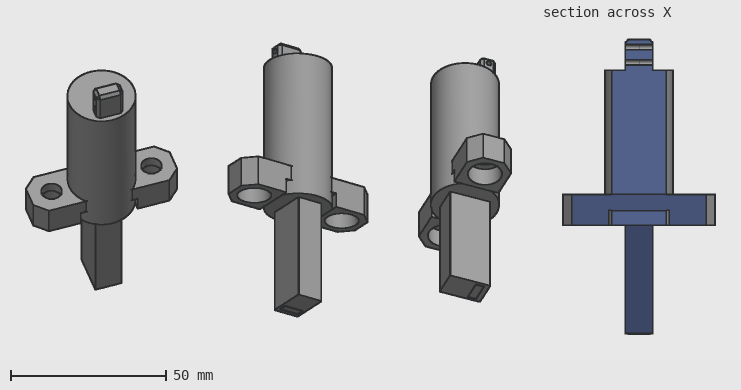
import cadquery as cq

total_height = 95.0
blade_height = 9.9
housing_height = 50.1

housing_radius = 11.0

flange_length = 49.0
flange_width = 15.4
flange_height = 10.0
corner_cut = 4.0
mount_hole_diameter = 6.65
mount_hole_spacing = 34.0
channel_length = 19.4
channel_height = 4.8
seat_diameter = 11.0
seat_depth = 6.5

blade_width = 5.2
blade_depth = 9.0
blade_offset = 6.5
blade_chamfer = 1.0
cross_hole_diameter = 1.6
cross_hole_spacing = 4.9
upper_hole_drop = 2.5

rod_width = 14.1
rod_depth = 9.0
rod_corner_cut = 0.2

pad_width = 2.85
pad_depth = 6.8
pad_height = 0.2
pad_offset = 3.8

rod_length = total_height - blade_height - housing_height - pad_height


def make_housing():
    housing = cq.Workplane("XY").circle(housing_radius).extrude(housing_height)
    return housing.union(make_blade())


def make_blade():
    blade = (
        cq.Workplane("XY", origin=(blade_offset, 0, housing_height))
        .rect(blade_width, blade_depth)
        .extrude(blade_height)
        .edges("|Z or >Z")
        .chamfer(blade_chamfer)
    )
    upper_hole_z = housing_height + blade_height - upper_hole_drop
    holes = (
        cq.Workplane("XZ", origin=(blade_offset, 0, upper_hole_z))
        .pushPoints([(0, 0), (0, -cross_hole_spacing)])
        .circle(cross_hole_diameter / 2)
        .extrude(blade_depth, both=True)
    )
    return blade.cut(holes)


def make_flange():
    bar = (
        cq.Workplane("XY")
        .rect(flange_width, flange_length)
        .extrude(flange_height)
        .edges("|Z")
        .chamfer(corner_cut)
    )
    mount_points = [(0, -mount_hole_spacing / 2), (0, mount_hole_spacing / 2)]
    mount_holes = (
        cq.Workplane("XY")
        .pushPoints(mount_points)
        .circle(mount_hole_diameter / 2)
        .extrude(flange_height)
    )
    seats = cq.Workplane("XY").pushPoints(mount_points).circle(seat_diameter / 2).extrude(seat_depth)
    channel = cq.Workplane("XY").rect(flange_width, channel_length).extrude(channel_height)
    return bar.cut(mount_holes).cut(seats).cut(channel)


def make_rod():
    rod = (
        cq.Workplane("XY")
        .rect(rod_width, rod_depth)
        .extrude(-rod_length)
        .edges("|Z")
        .chamfer(rod_corner_cut)
    )
    pad = (
        cq.Workplane("XY", origin=(pad_offset, 0, -rod_length))
        .rect(pad_width, pad_depth)
        .extrude(-pad_height)
    )
    return rod.union(pad)


flange = make_flange()
housing = make_housing().cut(flange)
rod = make_rod()

result = cq.Compound.makeCompound([housing.val(), flange.val(), rod.val()])